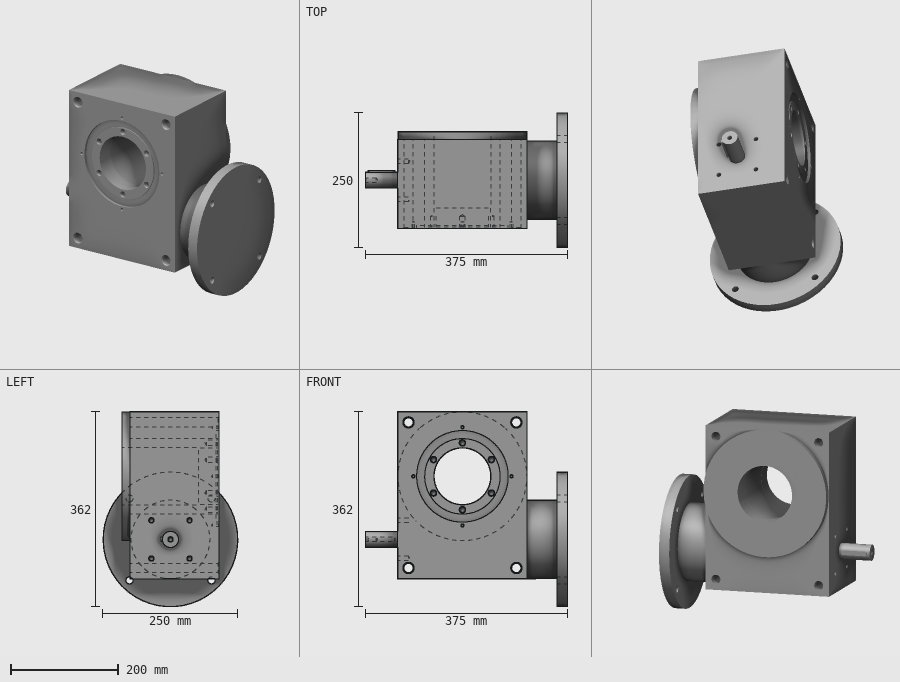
import cadquery as cq
import math


HOUSING_WIDTH = 240
HOUSING_HEIGHT = 310
HOUSING_DEPTH = 165
HOUSING_FRONT = -90
HOUSING_BACK = HOUSING_FRONT + HOUSING_DEPTH
HOUSING_TOP = 120
HOUSING_BOTTOM = HOUSING_TOP - HOUSING_HEIGHT
HOUSING_LEFT = -HOUSING_WIDTH / 2
HOUSING_RIGHT = HOUSING_WIDTH / 2

CORNER_HOLE_INSET = 20
CORNER_HOLE_DIAMETER = 17.29
CORNER_HOLE_MOUTH_DIAMETER = 21

NECK_DIAMETER = 146
FLANGE_DIAMETER = 250
FLANGE_THICKNESS = 20
FLANGE_END = 195
FLANGE_HOLE_CIRCLE = 215
FLANGE_HOLE_DIAMETER = 13
FLANGE_HOLE_COUNT = 4
WORM_AXIS_Z = HOUSING_BOTTOM + NECK_DIAMETER / 2

DISC_DIAMETER = 239
DISC_THICKNESS = 15
HUB_DIAMETER = 140
HUB_INSET = 3
HUB_FRONT = HOUSING_FRONT + HUB_INSET
FRONT_BORE_DIAMETER = 105
FRONT_BORE_LENGTH = 35
BACK_BORE_DIAMETER = 106
HUB_HOLE_CIRCLE = 124
HUB_HOLE_DIAMETER = 10.11
HUB_HOLE_MOUTH_DIAMETER = 12
HUB_HOLE_COUNT = 6
HUB_HOLE_DEPTH = 20

RECESS_DIAMETER = 170
RECESS_DEPTH = 5.5
COVER_HOLE_CIRCLE = 182
COVER_HOLE_DIAMETER = 4.92
COVER_HOLE_MOUTH_DIAMETER = 6
COVER_HOLE_COUNT = 4
COVER_HOLE_DEPTH = 12

SHAFT_DIAMETER = 30
SHAFT_LENGTH = 60
SHAFT_END = HOUSING_LEFT - SHAFT_LENGTH
KEY_LENGTH = 50
KEY_WIDTH = 8
KEY_RISE = 3
INPUT_HOLE_CIRCLE = 100
INPUT_HOLE_COUNT = 4
INPUT_HOLE_DIAMETER = 8.38
INPUT_HOLE_MOUTH_DIAMETER = 10
INPUT_HOLE_DEPTH = 20

DRILL_POINT_ANGLE = 118

INTO_FRONT = (0, 1, 0)
INTO_LEFT = (1, 0, 0)


def cylinder_y(diameter, start, length, x=0, z=0):
    """Cylinder along +Y from y = start."""
    base = cq.Vector(x, start, z)
    return cq.Workplane(cq.Solid.makeCylinder(diameter / 2, length, base, cq.Vector(0, 1, 0)))


def cylinder_x(diameter, start, length, y=0, z=WORM_AXIS_Z):
    """Cylinder along +X from x = start, on the worm axis unless placed elsewhere."""
    base = cq.Vector(start, y, z)
    return cq.Workplane(cq.Solid.makeCylinder(diameter / 2, length, base, cq.Vector(1, 0, 0)))


def mouth_chamfer(diameter, mouth_diameter, mouth, direction):
    """Tool for a 45 degree chamfer that widens a hole to mouth_diameter at its mouth."""
    depth = (mouth_diameter - diameter) / 2
    cone = cq.Solid.makeCone(
        mouth_diameter / 2, diameter / 2, depth, cq.Vector(*mouth), cq.Vector(*direction)
    )
    return cq.Workplane(cone)


def drilled_hole(diameter, mouth_diameter, depth, mouth, direction):
    """Tool for a chamfered blind hole with a conical bottom, running from mouth along direction."""
    start = cq.Vector(*mouth)
    axis = cq.Vector(*direction)
    radius = diameter / 2
    point_length = radius / math.tan(math.radians(DRILL_POINT_ANGLE / 2))
    straight = cq.Solid.makeCylinder(radius, depth, start, axis)
    point = cq.Solid.makeCone(radius, 0, point_length, start + axis * depth, axis)
    hole = cq.Workplane(straight).union(cq.Workplane(point))
    return hole.union(mouth_chamfer(diameter, mouth_diameter, mouth, direction))


def cover_hole(x, z):
    """Tool for one small hole outside the ring recess."""
    mouth = (x, HOUSING_FRONT, z)
    return drilled_hole(
        COVER_HOLE_DIAMETER, COVER_HOLE_MOUTH_DIAMETER, COVER_HOLE_DEPTH, mouth, INTO_FRONT
    )


def hub_hole(x, z):
    """Tool for one hole in the front face of the hub."""
    mouth = (x, HUB_FRONT, z)
    return drilled_hole(HUB_HOLE_DIAMETER, HUB_HOLE_MOUTH_DIAMETER, HUB_HOLE_DEPTH, mouth, INTO_FRONT)


def input_hole(mouth):
    """Tool for one hole on the input side, used in the housing and in the shaft end."""
    return drilled_hole(
        INPUT_HOLE_DIAMETER, INPUT_HOLE_MOUTH_DIAMETER, INPUT_HOLE_DEPTH, mouth, INTO_LEFT
    )


def circle_points(circle_diameter, count, start_angle):
    """Evenly spaced points on a circle about the origin."""
    angles = [math.radians(start_angle + 360 * i / count) for i in range(count)]
    return [(circle_diameter / 2 * math.cos(a), circle_diameter / 2 * math.sin(a)) for a in angles]


def corner_hole(x, z):
    """Tool for one corner hole, chamfered at the housing front."""
    bore = cylinder_y(CORNER_HOLE_DIAMETER, HOUSING_FRONT, HOUSING_DEPTH, x, z)
    mouth = (x, HOUSING_FRONT, z)
    chamfer = mouth_chamfer(CORNER_HOLE_DIAMETER, CORNER_HOLE_MOUTH_DIAMETER, mouth, INTO_FRONT)
    return bore.union(chamfer)


def make_housing():
    body = cq.Workplane().box(HOUSING_WIDTH, HOUSING_DEPTH, HOUSING_HEIGHT, centered=False)
    body = body.translate((HOUSING_LEFT, HOUSING_FRONT, HOUSING_BOTTOM))

    flange_start = FLANGE_END - FLANGE_THICKNESS
    body = body.union(cylinder_x(NECK_DIAMETER, HOUSING_RIGHT, flange_start - HOUSING_RIGHT))
    body = body.union(cylinder_x(FLANGE_DIAMETER, flange_start, FLANGE_THICKNESS))
    for y, z in circle_points(FLANGE_HOLE_CIRCLE, FLANGE_HOLE_COUNT, 45):
        hole = cylinder_x(FLANGE_HOLE_DIAMETER, flange_start, FLANGE_THICKNESS, y, WORM_AXIS_Z + z)
        body = body.cut(hole)

    body = body.cut(cylinder_y(HUB_DIAMETER, HOUSING_FRONT, HOUSING_DEPTH))
    body = body.cut(cylinder_y(RECESS_DIAMETER, HOUSING_FRONT, RECESS_DEPTH))
    for x, z in circle_points(COVER_HOLE_CIRCLE, COVER_HOLE_COUNT, 0):
        body = body.cut(cover_hole(x, z))

    for x in (HOUSING_LEFT + CORNER_HOLE_INSET, HOUSING_RIGHT - CORNER_HOLE_INSET):
        for z in (HOUSING_BOTTOM + CORNER_HOLE_INSET, HOUSING_TOP - CORNER_HOLE_INSET):
            body = body.cut(corner_hole(x, z))

    for y, z in circle_points(INPUT_HOLE_CIRCLE, INPUT_HOLE_COUNT, 45):
        body = body.cut(input_hole((HOUSING_LEFT, y, WORM_AXIS_Z + z)))
    return body


def make_turntable():
    hub = cylinder_y(HUB_DIAMETER, HUB_FRONT, HOUSING_BACK - HUB_FRONT)
    body = hub.union(cylinder_y(DISC_DIAMETER, HOUSING_BACK, DISC_THICKNESS))

    back_bore_start = HUB_FRONT + FRONT_BORE_LENGTH
    back_bore_length = HOUSING_BACK + DISC_THICKNESS - back_bore_start
    body = body.cut(cylinder_y(FRONT_BORE_DIAMETER, HUB_FRONT, FRONT_BORE_LENGTH))
    body = body.cut(cylinder_y(BACK_BORE_DIAMETER, back_bore_start, back_bore_length))

    for x, z in circle_points(HUB_HOLE_CIRCLE, HUB_HOLE_COUNT, 90):
        body = body.cut(hub_hole(x, z))
    return body


def make_input_shaft():
    body = cylinder_x(SHAFT_DIAMETER, SHAFT_END, SHAFT_LENGTH)

    key = (
        cq.Workplane("XZ", origin=(SHAFT_END + SHAFT_LENGTH / 2, 0, WORM_AXIS_Z))
        .slot2D(KEY_LENGTH, KEY_WIDTH)
        .extrude(-(SHAFT_DIAMETER / 2 + KEY_RISE))
    )
    body = body.union(key)
    return body.cut(input_hole((SHAFT_END, 0, WORM_AXIS_Z)))


housing = make_housing()
turntable = make_turntable()
input_shaft = make_input_shaft()

result = cq.Compound.makeCompound([housing.val(), turntable.val(), input_shaft.val()])